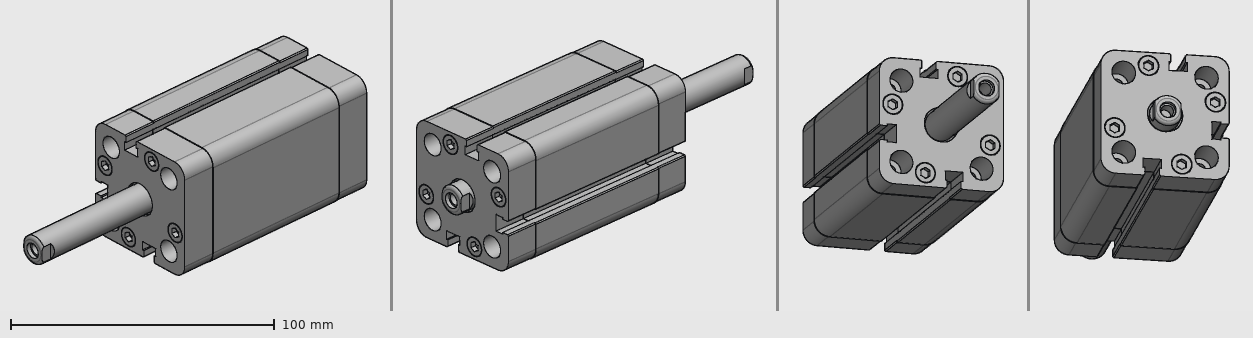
import cadquery as cq
import math

BARREL_WIDTH = 50.1
CAP_INSET = 0.3
CAP_WIDTH = BARREL_WIDTH - 2 * CAP_INSET
BARREL_CORNER_RADIUS = 6.3
CAP_CORNER_RADIUS = 5.6
TOTAL_LENGTH = 156.5
CAP_LENGTH = 14.5
BODY_LENGTH = 94.7
BARREL_LENGTH = BODY_LENGTH - 2 * CAP_LENGTH
BODY_FRONT = -BODY_LENGTH / 2
BODY_BACK = BODY_LENGTH / 2

ROD_DIAMETER = 12.0
ROD_RADIUS = ROD_DIAMETER / 2
BACK_STUB_LENGTH = 6.0
ROD_BACK = BODY_BACK + BACK_STUB_LENGTH
ROD_FRONT = ROD_BACK - TOTAL_LENGTH
ROD_END_FACE_DIAMETER = 9.0
ROD_END_ROUND_LENGTH = 1.1
ROD_END_ROUND_BULGE = 0.3
FLAT_WIDTH = 10.0
FLAT_LENGTH = 4.7
ROD_HOLE_DIAMETER = 4.9
ROD_HOLE_BORE_DIAMETER = 6.3
ROD_HOLE_BORE_DEPTH = 1.9
ROD_HOLE_DEPTH = 12.5
DRILL_TIP_ANGLE = 118.0
ROD_CLEARANCE_DIAMETER = 13.6
ROD_CLEARANCE_DEPTH = 1.5

SLOT_OFFSET = 5.0
SLOT_NECK_WIDTH = 5.6
BARREL_SLOT_WIDTH = 6.7
BARREL_SLOT_FLOOR = 18.2
CAP_SLOT_ALLOWANCE = 0.2
SLOT_STEP = 21.6
SLOT_MOUTH_CHAMFER = 0.5
SLOT_ANGLES = (0, 180, 270)

MOUNT_SPACING = 32.0
MOUNT_HOLE_DIAMETER = 4.9
MOUNT_BORE_DIAMETER = 9.0
MOUNT_BORE_DEPTH = CAP_LENGTH

SCREW_SIDE_OFFSET = 6.4
SCREW_EDGE_OFFSET = 19.4
SCREW_POSITIONS = (
    (SCREW_SIDE_OFFSET, SCREW_EDGE_OFFSET),
    (SCREW_EDGE_OFFSET, -SCREW_SIDE_OFFSET),
    (-SCREW_SIDE_OFFSET, -SCREW_EDGE_OFFSET),
    (-SCREW_EDGE_OFFSET, SCREW_SIDE_OFFSET),
)
SCREW_RECESS_DIAMETER = 8.0
SCREW_HEAD_DIAMETER = 7.5
SCREW_HEAD_HEIGHT = 4.7
SOCKET_CORNER_DIAMETER = 4.2
SOCKET_DEPTH = 2.3


def section_plane(y):
    """Plane across the body at the given y; its local axes are X and Z, and it extrudes towards -Y."""
    return cq.Workplane("XZ", origin=(0, y, 0))


def rounded_block(width, corner_radius, length, back):
    block = section_plane(back).rect(width, width).extrude(length)
    return block.edges("|Y").fillet(corner_radius)


def slot_cutter(angle, face_distance, allowance, length, back):
    """T-slot in the top face, turned about Y to another face.

    The allowance enlarges the wide part at its sides and floor.
    """
    neck = SLOT_NECK_WIDTH / 2
    wide = BARREL_SLOT_WIDTH / 2 + allowance
    floor = BARREL_SLOT_FLOOR - allowance
    mouth = neck + SLOT_MOUTH_CHAMFER
    right_side = [
        (wide, floor),
        (wide, SLOT_STEP),
        (neck, SLOT_STEP),
        (neck, face_distance - SLOT_MOUTH_CHAMFER),
        (mouth, face_distance),
    ]
    left_side = [(-x, z) for x, z in reversed(right_side)]
    outline = [(x - SLOT_OFFSET, z) for x, z in right_side + left_side]
    cutter = section_plane(back).polyline(outline).close().extrude(length)
    return cutter.rotate((0, 0, 0), (0, 1, 0), angle)


def body_section(width, corner_radius, slot_allowance, length, back):
    section = rounded_block(width, corner_radius, length, back)
    for angle in SLOT_ANGLES:
        section = section.cut(slot_cutter(angle, width / 2, slot_allowance, length, back))
    return section


def mount_hole_cutter():
    holes = section_plane(BODY_BACK).rect(MOUNT_SPACING, MOUNT_SPACING, forConstruction=True)
    cutter = holes.vertices().circle(MOUNT_HOLE_DIAMETER / 2).extrude(BODY_LENGTH)
    for back in (BODY_BACK, BODY_FRONT + MOUNT_BORE_DEPTH):
        bores = section_plane(back).rect(MOUNT_SPACING, MOUNT_SPACING, forConstruction=True)
        cutter = cutter.union(bores.vertices().circle(MOUNT_BORE_DIAMETER / 2).extrude(MOUNT_BORE_DEPTH))
    return cutter


def front_screw_cutter(x, z):
    """Gap around one screw head in the front cap, and a hexagon socket with corners up and down."""
    plane = section_plane(BODY_FRONT).center(x, z)
    gap = plane.circle(SCREW_RECESS_DIAMETER / 2).circle(SCREW_HEAD_DIAMETER / 2).extrude(-SCREW_HEAD_HEIGHT)
    socket = plane.polygon(6, SOCKET_CORNER_DIAMETER).extrude(-SOCKET_DEPTH)
    upright_socket = socket.rotate((x, 0, z), (x, 1, z), 90)
    return gap.union(upright_socket)


def rod_end_cutter():
    """Waste outside the wrench flats at the front rod end; the flats run out at 45 degrees."""
    flat = FLAT_WIDTH / 2
    outer = ROD_DIAMETER
    flat_end = ROD_FRONT + FLAT_LENGTH
    outline = [
        (flat, ROD_FRONT),
        (flat, flat_end),
        (outer, flat_end + outer - flat),
        (outer, ROD_FRONT),
    ]
    right = cq.Workplane("XY").polyline(outline).close().extrude(ROD_RADIUS, both=True)
    return right.union(right.mirror("YZ"))


def rod_hole_cutter():
    """Blind hole with a counterbored mouth and a drill-point bottom in the front rod end."""
    radius = ROD_HOLE_DIAMETER / 2
    bore = ROD_HOLE_BORE_DIAMETER / 2
    step = ROD_FRONT + ROD_HOLE_BORE_DEPTH
    tip_length = radius / math.tan(math.radians(DRILL_TIP_ANGLE / 2))
    bottom = ROD_FRONT + ROD_HOLE_DEPTH
    profile = [
        (0, ROD_FRONT),
        (bore, ROD_FRONT),
        (bore, step),
        (radius, step),
        (radius, bottom),
        (0, bottom + tip_length),
    ]
    return cq.Workplane("XY").polyline(profile).close().revolve(360, (0, 0, 0), (0, 1, 0))


def at_both_rod_ends(cutter):
    """Add a copy of a front-end cutter, mirrored about the middle of the rod."""
    middle = (ROD_FRONT + ROD_BACK) / 2
    return cutter.union(cutter.mirror("XZ", (0, middle, 0)))


def rod_blank():
    """Round bar whose ends are crowned by a shallow arc."""
    face = ROD_END_FACE_DIAMETER / 2
    side_front = ROD_FRONT + ROD_END_ROUND_LENGTH
    side_back = ROD_BACK - ROD_END_ROUND_LENGTH
    profile = (
        cq.Workplane("XY")
        .moveTo(0, ROD_FRONT)
        .lineTo(face, ROD_FRONT)
        .sagittaArc((ROD_RADIUS, side_front), -ROD_END_ROUND_BULGE)
        .lineTo(ROD_RADIUS, side_back)
        .sagittaArc((face, ROD_BACK), -ROD_END_ROUND_BULGE)
        .lineTo(0, ROD_BACK)
        .close()
    )
    return profile.revolve(360, (0, 0, 0), (0, 1, 0))


body = body_section(BARREL_WIDTH, BARREL_CORNER_RADIUS, 0, BARREL_LENGTH, BODY_BACK - CAP_LENGTH)
for cap_back in (BODY_BACK, BODY_FRONT + CAP_LENGTH):
    cap = body_section(CAP_WIDTH, CAP_CORNER_RADIUS, CAP_SLOT_ALLOWANCE, CAP_LENGTH, cap_back)
    body = body.union(cap)

body = body.cut(mount_hole_cutter())
for screw_x, screw_z in SCREW_POSITIONS:
    screw = front_screw_cutter(screw_x, screw_z)
    body = body.cut(screw).cut(screw.mirror("XZ"))

for clearance_back in (BODY_BACK, BODY_FRONT + ROD_CLEARANCE_DEPTH):
    clearance = section_plane(clearance_back).circle(ROD_CLEARANCE_DIAMETER / 2)
    body = body.cut(clearance.extrude(ROD_CLEARANCE_DEPTH))

rod = rod_blank()
rod = rod.cut(at_both_rod_ends(rod_end_cutter()))
rod = rod.cut(at_both_rod_ends(rod_hole_cutter()))

result = body.union(rod)